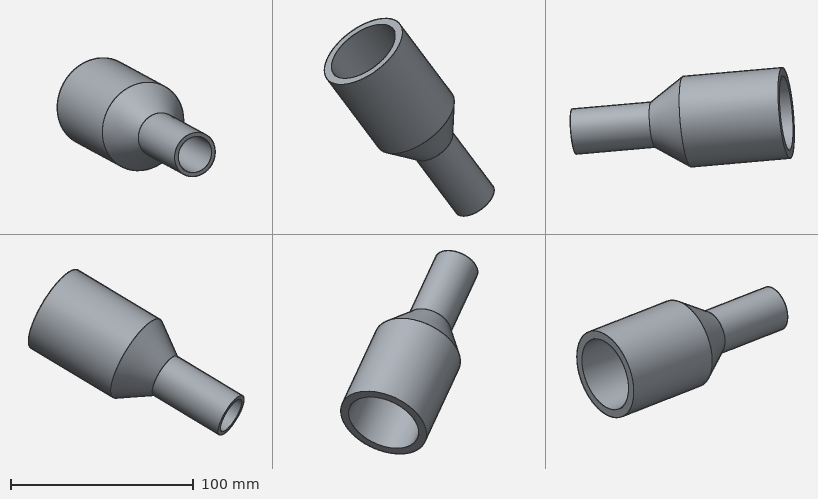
import cadquery as cq

total_length = 118.0
large_length = 55.0
small_length = 44.0
large_outer_diameter = 50.0
large_bore_diameter = 40.8
small_outer_diameter = 25.0
small_bore_diameter = 20.4

cone_start = large_length
cone_end = total_length - small_length


def stepped_cone(large_diameter, small_diameter):
    """Solid of revolution about X: large cylinder, cone, small cylinder."""
    large_radius = large_diameter / 2
    small_radius = small_diameter / 2
    return (
        cq.Workplane("XY")
        .moveTo(0, 0)
        .lineTo(0, large_radius)
        .lineTo(cone_start, large_radius)
        .lineTo(cone_end, small_radius)
        .lineTo(total_length, small_radius)
        .lineTo(total_length, 0)
        .close()
        .revolve(360, (0, 0, 0), (1, 0, 0))
    )


body = stepped_cone(large_outer_diameter, small_outer_diameter)
bore = stepped_cone(large_bore_diameter, small_bore_diameter)

result = body.cut(bore)